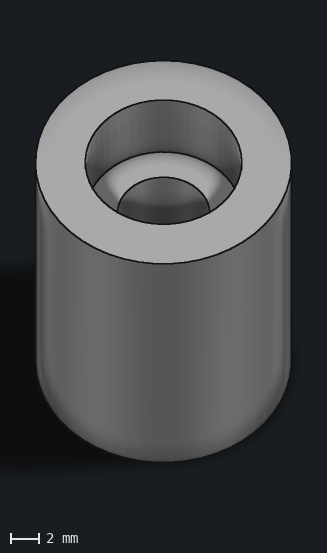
import cadquery as cq

outer_diameter = 18.0
height = 23.0
bore_diameter = 6.5
counterbore_diameter = 11.0
counterbore_depth = 6.0

body = cq.Workplane("XY").circle(outer_diameter / 2).extrude(height)

result = (
    body.faces(">Z")
    .workplane()
    .cboreHole(bore_diameter, counterbore_diameter, counterbore_depth)
)